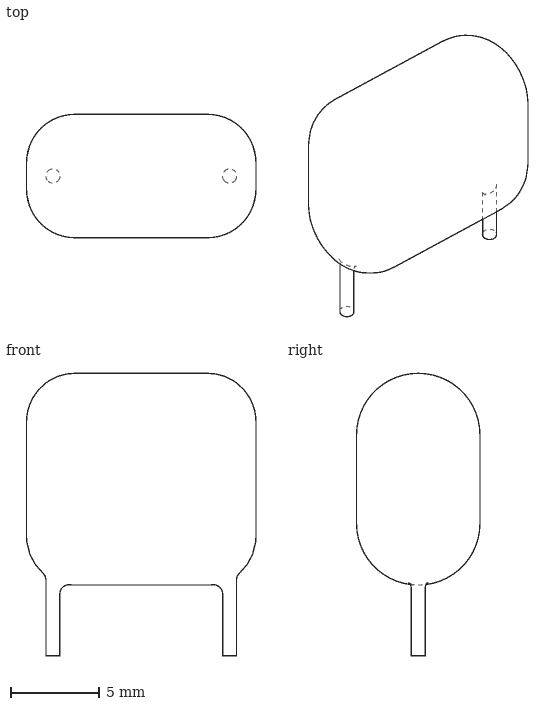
import cadquery as cq

body_length = 13.0
body_thickness = 7.0
body_height = 12.0
end_rounding = 2.75

lead_diameter = 0.8
lead_pitch = 10.0
lead_length = 4.0
lead_blend_radius = 0.5


def make_body():
    """Body resting on Z = 0, centred on X and Y."""
    section = cq.Workplane("YZ").slot2D(body_height, body_thickness, 90)
    body = section.extrude(body_length / 2, both=True)
    body = body.faces("<X or >X").edges().fillet(end_rounding)
    return body.translate((0, 0, body_height / 2))


def make_lead(x):
    """Straight round wire from the body's mid height down to its free end."""
    bottom = cq.Workplane("XY", origin=(x, 0, -lead_length))
    return bottom.circle(lead_diameter / 2).extrude(lead_length + body_height / 2)


def blend_lead(part, x):
    """Fillet the curve where the lead at x enters the rounded underside of the body."""
    reach = lead_diameter
    joint_region = cq.selectors.BoxSelector(
        (x - reach, -reach, -reach),
        (x + reach, reach, end_rounding),
    )
    return part.edges(joint_region).edges("not |Z").fillet(lead_blend_radius)


result = make_body()
for side in (-1, 1):
    lead_x = side * lead_pitch / 2
    result = result.union(make_lead(lead_x))
    result = blend_lead(result, lead_x)